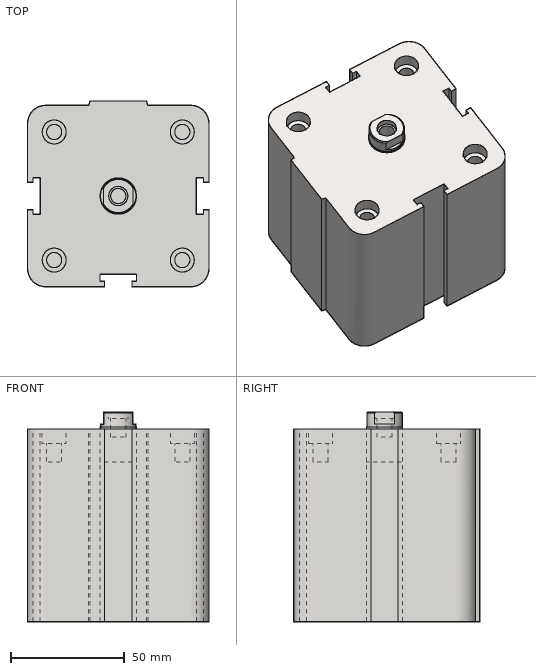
import cadquery as cq

WIDTH = 80.0
HOUSING_HEIGHT = 85.0
CORNER_RADIUS = 8.1

OVERALL_DEPTH = 82.0
PAD_HEIGHT = OVERALL_DEPTH - WIDTH
PAD_BASE_WIDTH = 26.0
PAD_TOP_WIDTH = 25.0

SLOT_OPENING = 12.0
SLOT_INNER_WIDTH = 16.0
SLOT_LIP = 2.5
SLOT_DEPTH = 5.55
SLOT_ANGLES = (-90, 0, 90)

SCREW_SPACING = 56.4
SCREW_DIAMETER = 6.7
SCREW_HEAD_DIAMETER = 10.5
SCREW_HEAD_DEPTH = 6.5
SCREW_HOLE_DEPTH = 14.5

OVERALL_HEIGHT = 92.5
SHANK_DIAMETER = 16.0
SHANK_PROJECTION = 0.8
ROD_SEAT_DEPTH = SCREW_HOLE_DEPTH
NECK_DIAMETER = 15.6
NECK_CHAMFER = 0.5
FLAT_WIDTH = 12.95
FLAT_START = 2.0

BORE_DIAMETER = 6.7
BORE_DEPTH = 11.1
BORE_ENTRY_DIAMETER = 8.4
BORE_ENTRY_DEPTH = 3.0


def make_pad():
    base_y = WIDTH / 2
    top_y = base_y + PAD_HEIGHT
    return (
        cq.Workplane("XY")
        .polyline([
            (-PAD_BASE_WIDTH / 2, base_y),
            (PAD_BASE_WIDTH / 2, base_y),
            (PAD_TOP_WIDTH / 2, top_y),
            (-PAD_TOP_WIDTH / 2, top_y),
        ])
        .close()
        .extrude(HOUSING_HEIGHT)
    )


def make_t_slot():
    """T-slot cutter for the -Y side."""
    side_y = -WIDTH / 2
    inner_depth = SLOT_DEPTH - SLOT_LIP
    opening = (
        cq.Workplane("XY")
        .center(0, side_y + SLOT_DEPTH / 2)
        .rect(SLOT_OPENING, SLOT_DEPTH)
        .extrude(HOUSING_HEIGHT)
    )
    channel = (
        cq.Workplane("XY")
        .center(0, side_y + SLOT_LIP + inner_depth / 2)
        .rect(SLOT_INNER_WIDTH, inner_depth)
        .extrude(HOUSING_HEIGHT)
    )
    return opening.union(channel)


def make_corner_holes(diameter, depth):
    """Four hole cutters sunk from the top of the housing."""
    return (
        cq.Workplane("XY", origin=(0, 0, HOUSING_HEIGHT))
        .rect(SCREW_SPACING, SCREW_SPACING, forConstruction=True)
        .vertices()
        .circle(diameter / 2)
        .extrude(-depth)
    )


def make_rod_seat():
    return (
        cq.Workplane("XY", origin=(0, 0, HOUSING_HEIGHT))
        .circle(SHANK_DIAMETER / 2)
        .extrude(-ROD_SEAT_DEPTH)
    )


def make_housing():
    body = (
        cq.Workplane("XY")
        .rect(WIDTH, WIDTH)
        .extrude(HOUSING_HEIGHT)
        .edges("|Z")
        .fillet(CORNER_RADIUS)
        .union(make_pad())
    )

    slot = make_t_slot()
    for angle in SLOT_ANGLES:
        body = body.cut(slot.rotate((0, 0, 0), (0, 0, 1), angle))

    screw_holes = make_corner_holes(SCREW_DIAMETER, SCREW_HOLE_DEPTH)
    screw_heads = make_corner_holes(SCREW_HEAD_DIAMETER, SCREW_HEAD_DEPTH)
    return body.cut(screw_holes).cut(screw_heads).cut(make_rod_seat())


def make_rod():
    shank_top = HOUSING_HEIGHT + SHANK_PROJECTION
    shank = (
        cq.Workplane("XY", origin=(0, 0, HOUSING_HEIGHT - ROD_SEAT_DEPTH))
        .circle(SHANK_DIAMETER / 2)
        .extrude(ROD_SEAT_DEPTH + SHANK_PROJECTION)
    )
    neck = (
        cq.Workplane("XY", origin=(0, 0, shank_top))
        .circle(NECK_DIAMETER / 2)
        .extrude(OVERALL_HEIGHT - shank_top)
        .faces(">Z")
        .chamfer(NECK_CHAMFER)
    )

    flat_bottom = HOUSING_HEIGHT + FLAT_START
    waste_width = (NECK_DIAMETER - FLAT_WIDTH) / 2
    waste_center = (NECK_DIAMETER + FLAT_WIDTH) / 4
    flat_cutter = (
        cq.Workplane("XY", origin=(0, 0, flat_bottom))
        .pushPoints([(-waste_center, 0), (waste_center, 0)])
        .rect(waste_width, NECK_DIAMETER)
        .extrude(OVERALL_HEIGHT - flat_bottom)
    )

    rod_end = cq.Workplane("XY", origin=(0, 0, OVERALL_HEIGHT))
    bore = rod_end.circle(BORE_DIAMETER / 2).extrude(-BORE_DEPTH)
    bore_entry = rod_end.circle(BORE_ENTRY_DIAMETER / 2).extrude(-BORE_ENTRY_DEPTH)
    return shank.union(neck).cut(flat_cutter).cut(bore).cut(bore_entry)


housing = make_housing()
rod = make_rod()

result = cq.Compound.makeCompound([housing.val(), rod.val()])